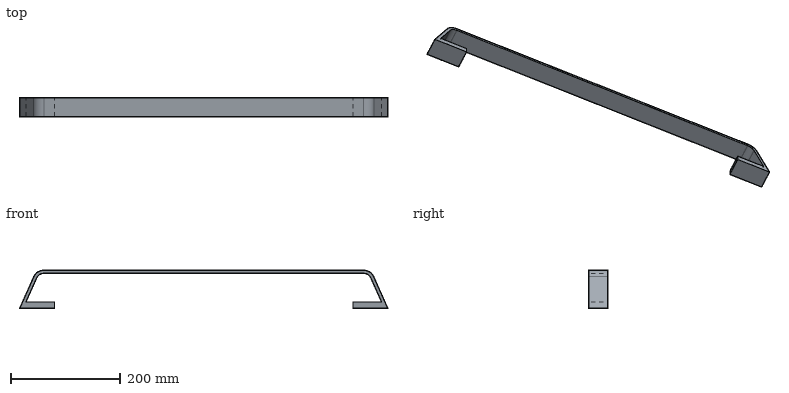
import cadquery as cq
import math

length = 673.0
width = 35.0
height = 70.0

strip_thickness = 6.0
foot_thickness = 12.0
foot_length = 64.0
leg_angle = math.radians(66)
bend_outer_radius = 20.0
bend_inner_radius = bend_outer_radius - strip_thickness

half_length = length / 2
leg_run = 1 / math.tan(leg_angle)
leg_thickness_x = strip_thickness / math.sin(leg_angle)
foot_end = half_length - foot_length


def outer_leg_x(z):
    """Distance from the centre to the outer face of the leg at height z."""
    return half_length - z * leg_run


def inner_leg_x(z):
    """Distance from the centre to the inner face of the leg at height z."""
    return outer_leg_x(z) - leg_thickness_x


def prism(points):
    """Extrude an XZ outline across the width, centred on Y."""
    return cq.Workplane("XZ").polyline(points).close().extrude(width / 2, both=True)


outer_block = prism([
    (-half_length, 0),
    (half_length, 0),
    (outer_leg_x(height), height),
    (-outer_leg_x(height), height),
]).edges("|Y and >Z").fillet(bend_outer_radius)

opening_top = height - strip_thickness
opening = prism([
    (-inner_leg_x(foot_thickness), foot_thickness),
    (inner_leg_x(foot_thickness), foot_thickness),
    (inner_leg_x(opening_top), opening_top),
    (-inner_leg_x(opening_top), opening_top),
]).edges("|Y and >Z").fillet(bend_inner_radius)

foot_gap = cq.Workplane("XY").box(2 * foot_end, width, foot_thickness, centered=(True, True, False))

result = outer_block.cut(opening).cut(foot_gap)